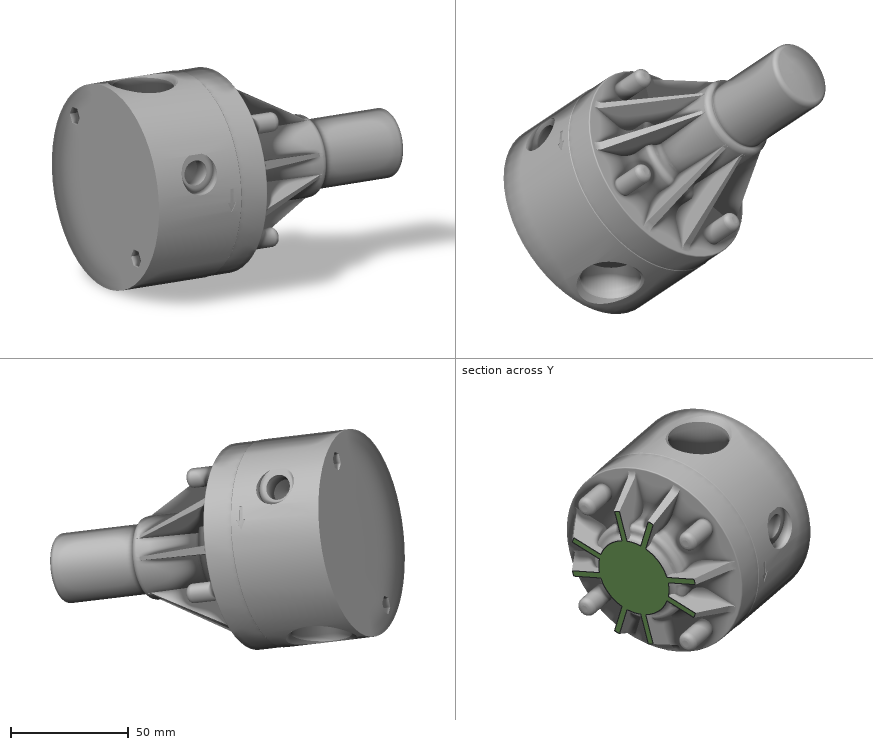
import cadquery as cq
import math

body_diameter = 88.9
body_length = 41.0
flange_diameter = 88.4
flange_top = 53.9
body_radius = body_diameter / 2
body_edge_chamfer = 0.3
flange_edge_round = 0.5

blend_radius = 2.54
shoulder_top = 66.65
shoulder_foot_radius = 5.08
stem_radius = 35.56 / 2
shoulder_radius = stem_radius + 2 * blend_radius
collar_top = 99.75
collar_bottom = collar_top - blend_radius
cap_radius = 29.97 / 2
cap_foot_radius = stem_radius - blend_radius - cap_radius
cap_round = 2.2
dome_rise = 1.05
total_length = 140.34
dome_edge = total_length - dome_rise

rib_angle = 15.5
rib_top_thickness = 1.45
rib_bottom_thickness = 3.65
rib_break_radius = stem_radius + 0.15
rib_break_height = collar_bottom - 1.5
rib_foot_radius = 39.5
rib_foot_height = 56.2
rib_toe_radius = 42.4
rib_foot_middle = (40.55, 54.75)

bolt_offset = 25.4
pin_diameter = 8.38
pin_top = shoulder_top + blend_radius
socket_sides = 6
socket_flats = 7.14
socket_depth = 3.6

port_diameter = 26.2
port_y = 18.6
port_floor = 25.7
port_chamfer = 2.4

side_port_y = 21.1
side_port_z = 12.7
side_port_diameter = 17.3
side_port_floor = 39.3
pilot_diameter = 10.95
pilot_depth = 8.0
drill_point_angle = 118.0

arrow_y = 36.2
arrow_top = 4.7
arrow_neck = -1.3
arrow_tip = -5.5
arrow_shaft_width = 1.5
arrow_head_width = 4.0
arrow_depth = 0.3


def make_body():
    """Body disc and the slightly smaller flange behind it."""
    body = (
        cq.Workplane("XZ")
        .circle(body_radius)
        .extrude(-body_length)
        .faces(">Y")
        .chamfer(body_edge_chamfer)
    )
    flange = (
        cq.Workplane("XZ", origin=(0, body_length, 0))
        .circle(flange_diameter / 2)
        .extrude(-(flange_top - body_length))
        .faces(">Y")
        .edges()
        .fillet(flange_edge_round)
    )
    return body.union(flange)


def add_round(outline, center, radius, start_angle, end_angle):
    """Continue an outline along an arc given by its center and end angles."""
    points = []
    for angle in ((start_angle + end_angle) / 2, end_angle):
        turn = math.radians(angle)
        points.append((center[0] + radius * math.cos(turn), center[1] + radius * math.sin(turn)))
    return outline.threePointArc(*points)


def make_neck():
    """Shoulder, straight stem, collar and domed cap, turned about Y."""
    foot_radius = shoulder_radius + shoulder_foot_radius
    foot_center = (foot_radius, flange_top + shoulder_foot_radius)
    shoulder_center = (shoulder_radius - blend_radius, shoulder_top - blend_radius)
    stem_foot_center = (stem_radius + blend_radius, shoulder_top + blend_radius)
    collar_center = (stem_radius - blend_radius, collar_bottom)
    cap_foot_center = (cap_radius + cap_foot_radius, collar_top + cap_foot_radius)
    cap_round_center = (cap_radius - cap_round, dome_edge - cap_round)
    dome_edge_radius = cap_radius - cap_round
    dome_radius = (dome_edge_radius**2 + dome_rise**2) / (2 * dome_rise)
    dome_half_angle = math.degrees(math.asin(dome_edge_radius / dome_radius))
    dome_center = (0, total_length - dome_radius)

    outline = cq.Workplane("XY").moveTo(0, body_length)
    outline = outline.lineTo(foot_radius, body_length).lineTo(foot_radius, flange_top)
    outline = add_round(outline, foot_center, shoulder_foot_radius, 270, 180)
    outline = outline.lineTo(shoulder_radius, shoulder_center[1])
    outline = add_round(outline, shoulder_center, blend_radius, 0, 90)
    outline = add_round(outline, stem_foot_center, blend_radius, 270, 180)
    outline = outline.lineTo(stem_radius, collar_bottom)
    outline = add_round(outline, collar_center, blend_radius, 0, 90)
    outline = add_round(outline, cap_foot_center, cap_foot_radius, 270, 180)
    outline = outline.lineTo(cap_radius, cap_round_center[1])
    outline = add_round(outline, cap_round_center, cap_round, 0, 90)
    outline = add_round(outline, dome_center, dome_radius, 90 - dome_half_angle, 90)
    return outline.close().revolve(360, (0, 0, 0), (0, 1, 0))


def make_rib():
    """One rib in the +X half of the XY plane, wedge-shaped across Z."""
    profile = (
        cq.Workplane("XY", origin=(0, 0, -rib_bottom_thickness))
        .moveTo(0, flange_top)
        .lineTo(rib_toe_radius, flange_top)
        .threePointArc(rib_foot_middle, (rib_foot_radius, rib_foot_height))
        .lineTo(rib_break_radius, rib_break_height)
        .lineTo(rib_break_radius, collar_bottom)
        .lineTo(0, collar_bottom)
        .close()
        .extrude(2 * rib_bottom_thickness)
    )
    wedge = (
        cq.Workplane("XZ", origin=(body_radius / 2, flange_top, 0))
        .rect(body_radius, rib_bottom_thickness)
        .workplane(offset=-(collar_bottom - flange_top))
        .rect(body_radius, rib_top_thickness)
        .loft(ruled=True)
    )
    return profile.intersect(wedge)


def make_pin(x, z):
    """Round-ended pin standing on the flange."""
    return (
        cq.Workplane("XZ", origin=(x, body_length, z))
        .circle(pin_diameter / 2)
        .extrude(-(pin_top - body_length))
        .faces(">Y")
        .edges()
        .fillet(blend_radius)
    )


def make_socket(x, z):
    """Hexagonal recess in the -Y face."""
    corner_diameter = socket_flats / math.cos(math.pi / socket_sides)
    return cq.Workplane("XZ", origin=(x, 0, z)).polygon(socket_sides, corner_diameter).extrude(-socket_depth)


def make_port():
    """Flat-bottomed bore on +Z with a 45 degree mouth."""
    bore_radius = port_diameter / 2
    mouth_bottom = body_radius - port_chamfer
    return (
        cq.Workplane("XZ", origin=(0, port_y, 0))
        .moveTo(0, port_floor)
        .lineTo(bore_radius, port_floor)
        .lineTo(bore_radius, mouth_bottom)
        .lineTo(bore_radius + port_chamfer, body_radius)
        .lineTo(0, body_radius)
        .close()
        .revolve(360, (0, 0, 0), (0, 1, 0))
    )


def make_side_port():
    """Counterbored hole on +X with a drill-point bottom."""
    pilot_radius = pilot_diameter / 2
    pilot_floor = side_port_floor - pilot_depth
    point_length = pilot_radius / math.tan(math.radians(drill_point_angle / 2))
    return (
        cq.Workplane("XY", origin=(0, side_port_y, side_port_z))
        .moveTo(pilot_floor - point_length, 0)
        .lineTo(pilot_floor, pilot_radius)
        .lineTo(side_port_floor, pilot_radius)
        .lineTo(side_port_floor, side_port_diameter / 2)
        .lineTo(body_radius, side_port_diameter / 2)
        .lineTo(body_radius, 0)
        .close()
        .revolve(360, (0, 0, 0), (1, 0, 0))
    )


def make_arrow():
    """Shallow arrow pointing to -Z, following the -X side of the body."""
    half_shaft = arrow_shaft_width / 2
    half_head = arrow_head_width / 2
    prism = (
        cq.Workplane("YZ", origin=(-body_radius, arrow_y, 0))
        .moveTo(half_shaft, arrow_top)
        .lineTo(half_shaft, arrow_neck)
        .lineTo(half_head, arrow_neck)
        .lineTo(0, arrow_tip)
        .lineTo(-half_head, arrow_neck)
        .lineTo(-half_shaft, arrow_neck)
        .lineTo(-half_shaft, arrow_top)
        .close()
        .extrude(body_radius)
    )
    core = cq.Workplane("XZ").circle(body_radius - arrow_depth).extrude(-body_length)
    return prism.cut(core)


result = make_body().union(make_neck())

rib = make_rib()
for side_angle in (0, 90, 180, 270):
    for offset_angle in (-rib_angle, rib_angle):
        result = result.union(rib.rotate((0, 0, 0), (0, 1, 0), side_angle + offset_angle))

for x_sign in (-1, 1):
    for z_sign in (-1, 1):
        result = result.union(make_pin(x_sign * bolt_offset, z_sign * bolt_offset))
    result = result.cut(make_socket(x_sign * bolt_offset, -x_sign * bolt_offset))

port = make_port()
side_port = make_side_port()
result = result.cut(port).cut(port.mirror("XY"))
result = result.cut(side_port).cut(side_port.mirror("YZ"))
arrow = make_arrow()
result = result.cut(arrow).cut(arrow.mirror("YZ"))